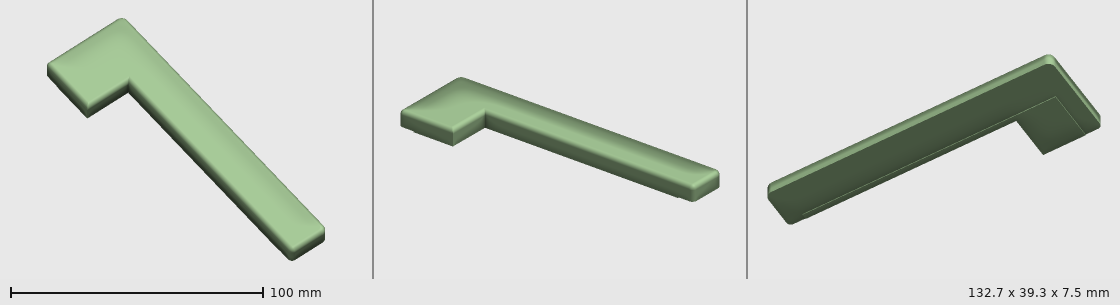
import cadquery as cq

length = 132.7
width = 39.3
height = 7.5

arm_width = 18.7
leg_width = 27.5

pad_height = 0.4
pad_end_inset = 7.7
pad_width = 23.1

back_corner_radius = 3.0
front_corner_radius = 2.0
top_edge_radius = 2.0

arm_front = width - arm_width


def l_block(bottom, top):
    """L-shaped block with sharp corners between two heights."""
    outline = [
        (0, 0),
        (leg_width, 0),
        (leg_width, arm_front),
        (length, arm_front),
        (length, width),
        (0, width),
    ]
    return cq.Workplane("XY").workplane(offset=bottom).polyline(outline).close().extrude(top - bottom)


def corner_edge(x, y):
    """Selector for the vertical plate edge at a corner of the L."""
    return cq.selectors.NearestToPointSelector((x, y, (pad_height + height) / 2))


def rounded_plate():
    """Plate with rounded outer corners and top rim; the inner and leg tip corners stay sharp."""
    plate = l_block(pad_height, height)
    corners = [
        (0, width, back_corner_radius),
        (length, width, back_corner_radius),
        (0, 0, front_corner_radius),
        (length, arm_front, front_corner_radius),
    ]
    for x, y, radius in corners:
        plate = plate.edges("|Z").edges(corner_edge(x, y)).fillet(radius)
    return plate.faces(">Z").edges().fillet(top_edge_radius)


def bottom_pad():
    """Pad set in from both ends and flush with the front sides of the L."""
    pad_length = length - 2 * pad_end_inset
    bounds = (
        cq.Workplane("XY")
        .box(pad_length, pad_width, pad_height, centered=False)
        .translate((pad_end_inset, 0, 0))
    )
    return l_block(0, pad_height).intersect(bounds)


result = rounded_plate().union(bottom_pad())